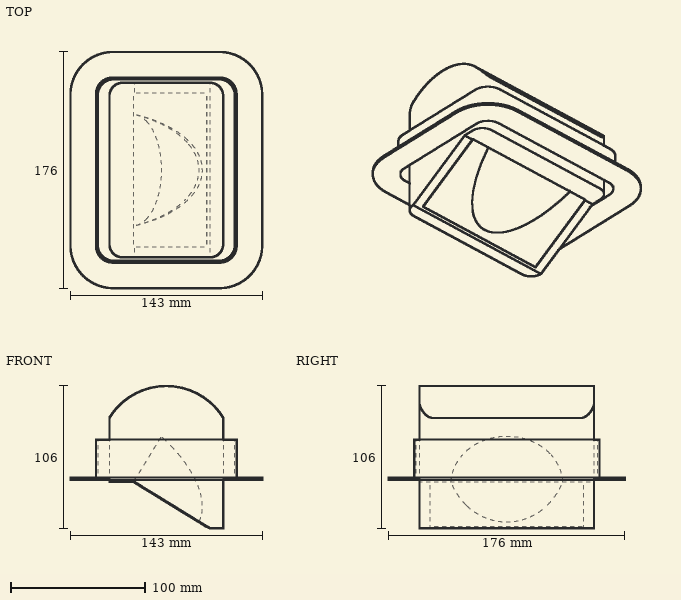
import cadquery as cq
import math

flange_x = 143.0
flange_y = 176.0
flange_thickness = 1.5
flange_margin = 19.0
flange_bottom = 36.0
sleeve_top = 66.0
sleeve_wall = 1.5
sleeve_corner = 13.0
flange_corner = sleeve_corner + flange_margin
sleeve_x = flange_x - 2 * flange_margin
sleeve_y = flange_y - 2 * flange_margin

insert_x = 84.8
insert_y = 130.0
insert_top = 106.0
insert_corner = 10.0
dome_radius = 49.6
half_x = insert_x / 2
shoulder_z = insert_top - dome_radius + math.sqrt(dome_radius**2 - half_x**2)

shelf_z = 34.5
shelf_length = 18.7
foot_x = half_x - insert_corner
slope_run = foot_x + half_x - shelf_length
slope_length = math.hypot(slope_run, shelf_z)

panel_width = 114.4
panel_thickness = 0.4
panel_foot_gap = 2.6
panel_end = slope_length + panel_thickness * slope_run / shelf_z

bowl_tip = 9.3
bowl_axis_offset = 2.1
bowl_half_length = 92.4
bowl_radius = 45.0


def rounded_block(length, width, radius, bottom, top):
    """Upright block centred on the Z axis with rounded vertical edges."""
    block = cq.Workplane("XY").workplane(offset=bottom).rect(length, width).extrude(top - bottom)
    return block.edges("|Z").fillet(radius)


def slope_plane():
    """Plane on the slope: X runs from the foot up to the shelf, Z points out of the insert."""
    return cq.Plane(
        origin=(foot_x, 0, 0),
        xDir=(-slope_run, 0, shelf_z),
        normal=(-shelf_z, 0, -slope_run),
    )


def make_frame():
    flange_top = flange_bottom + flange_thickness
    flange = rounded_block(flange_x, flange_y, flange_corner, flange_bottom, flange_top)
    sleeve = rounded_block(sleeve_x, sleeve_y, sleeve_corner, flange_bottom, sleeve_top)
    opening = rounded_block(
        sleeve_x - 2 * sleeve_wall,
        sleeve_y - 2 * sleeve_wall,
        sleeve_corner - sleeve_wall,
        flange_bottom,
        sleeve_top,
    )
    return flange.union(sleeve).cut(opening)


def make_insert_block():
    """Side profile with the dome and the slope, trimmed to rounded vertical corners."""
    profile = (
        cq.Workplane("XZ")
        .moveTo(-half_x, shelf_z)
        .lineTo(foot_x - slope_run, shelf_z)
        .lineTo(foot_x, 0)
        .lineTo(half_x, 0)
        .lineTo(half_x, shoulder_z)
        .threePointArc((0, insert_top), (-half_x, shoulder_z))
        .close()
        .extrude(insert_y / 2, both=True)
    )
    envelope = rounded_block(insert_x, insert_y, insert_corner, 0, insert_top)
    return profile.intersect(envelope)


def make_panel():
    """Thin plate whose upper end is cut level with the shelf."""
    side_plane = cq.Plane(
        origin=(foot_x, 0, 0),
        xDir=(-slope_run, 0, shelf_z),
        normal=(0, -1, 0),
    )
    return (
        cq.Workplane(side_plane)
        .moveTo(panel_foot_gap, 0)
        .lineTo(slope_length, 0)
        .lineTo(panel_end, panel_thickness)
        .lineTo(panel_foot_gap, panel_thickness)
        .close()
        .extrude(panel_width / 2, both=True)
    )


def make_bowl():
    """Ellipse arc from the tip to the upper end of the panel, revolved about the bowl axis."""
    end_angle = math.acos(1 - (panel_end - bowl_tip) / bowl_half_length)

    def ellipse_point(fraction):
        angle = fraction * end_angle
        along = bowl_tip + bowl_half_length * (1 - math.cos(angle))
        return along, bowl_radius * math.sin(angle)

    return (
        cq.Workplane(slope_plane())
        .workplane(offset=bowl_axis_offset)
        .moveTo(bowl_tip, 0)
        .parametricCurve(ellipse_point, makeWire=False)
        .lineTo(panel_end, 0)
        .close()
        .revolve(360, (0, 0), (1, 0))
    )


def make_insert():
    return make_insert_block().union(make_panel()).cut(make_bowl())


frame = make_frame()
insert = make_insert()
result = cq.Compound.makeCompound([frame.val(), insert.val()])